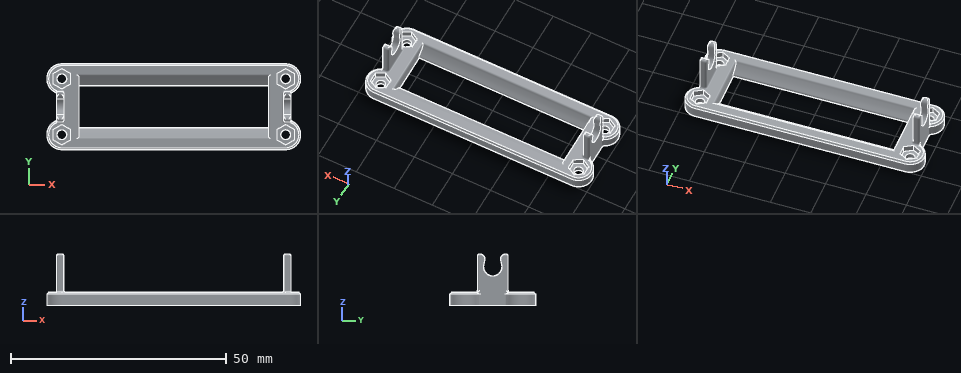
import cadquery as cq
import math

plate_thickness = 3.1
lobe_radius = 3.5
hole_half_x = 26.0
hole_half_y = 6.5
plate_half_x = hole_half_x + lobe_radius
plate_half_y = hole_half_y + lobe_radius
rim_chamfer = 0.45
waist_fillet = 0.5

screw_diameter = 2.2
nut_sides = 6
nut_across_flats = 4.1
nut_pocket_depth = 1.6

window_half_x = 22.0
window_fillet = 0.5
seat_radius = 8.85
seat_axis_z = 8.18

clip_thickness = 1.75
clip_outer_x = 27.25
clip_centre_x = clip_thickness / 2 - clip_outer_x
clip_half_width = 3.6
clip_top_z = 12.0
clip_edge_fillet = 0.55
clip_foot_fillet = 0.4
tangent_gap = 0.01
bore_radius = 2.1
bore_axis_z = 9.0
throat_half_width = 1.8
throat_taper = math.radians(12.0)
lead_in_half_width = 2.9
lead_in_radius = 1.25

margin = 0.1


def centred_box(size_x, size_y, bottom_z, top_z, centre_x=0.0):
    """Box centred on Y = 0 between two heights."""
    box = cq.Workplane("XY").box(size_x, size_y, top_z - bottom_z, centered=(True, True, False))
    return box.translate((centre_x, 0, bottom_z))


def make_plate():
    """Bar with round corner lobes, a recessed waist at each end and a chamfered top rim."""
    lobes = (
        cq.Workplane("XY")
        .rect(2 * hole_half_x, 2 * hole_half_y, forConstruction=True)
        .vertices()
        .circle(lobe_radius)
        .extrude(plate_thickness)
    )
    side_bar = centred_box(2 * hole_half_x, 2 * plate_half_y, 0, plate_thickness)
    waist_bar = centred_box(2 * clip_outer_x, 2 * hole_half_y, 0, plate_thickness)
    plate = lobes.union(side_bar).union(waist_bar).clean()

    waist_y = hole_half_y - math.sqrt(lobe_radius**2 - (clip_outer_x - hole_half_x) ** 2)
    waist_zone = cq.selectors.BoxSelector(
        (-plate_half_x, -waist_y - margin, 0),
        (plate_half_x, waist_y + margin, plate_thickness),
    )
    plate = plate.edges("|Z").edges(waist_zone).fillet(waist_fillet)
    return plate.faces(">Z").edges().chamfer(rim_chamfer)


def cut_window(plate):
    """Open the window below a cylindrical seat along X, then round its edges."""
    seat = (
        cq.Workplane("YZ")
        .center(0, seat_axis_z)
        .circle(seat_radius)
        .extrude(window_half_x, both=True)
    )
    plate = plate.cut(seat)

    half_y_at_bottom = math.sqrt(seat_radius**2 - seat_axis_z**2)
    half_y_at_top = math.sqrt(seat_radius**2 - (seat_axis_z - plate_thickness) ** 2)
    top_zone = cq.selectors.BoxSelector(
        (-window_half_x - margin, -half_y_at_top - margin, plate_thickness - margin),
        (window_half_x + margin, half_y_at_top + margin, plate_thickness + margin),
    )
    bottom_zone = cq.selectors.BoxSelector(
        (-window_half_x, -half_y_at_bottom - margin, -margin),
        (window_half_x, half_y_at_bottom + margin, margin),
    )
    plate = plate.edges(top_zone).fillet(window_fillet)
    return plate.edges("|X").edges(bottom_zone).fillet(window_fillet)


def cut_screw_seats(body):
    """Cut the four screw holes and their nut pockets, hexagon corners along Y."""
    half_sector = 180 / nut_sides
    nut_corner_diameter = nut_across_flats / math.cos(math.radians(half_sector))
    hole = cq.Workplane("XY").circle(screw_diameter / 2).extrude(plate_thickness)
    pocket = (
        cq.Workplane("XY")
        .polygon(nut_sides, nut_corner_diameter)
        .extrude(nut_pocket_depth)
        .rotate((0, 0, 0), (0, 0, 1), half_sector)
        .translate((0, 0, plate_thickness - nut_pocket_depth))
    )
    cutter = hole.union(pocket)
    for x in (-hole_half_x, hole_half_x):
        for y in (-hole_half_y, hole_half_y):
            body = body.cut(cutter.translate((x, y, 0)))
    return body


def rounded_post(grow, top_z):
    """Upright bar with rounded corners, as the clip post but grown sideways by `grow`."""
    size_x = clip_thickness + 2 * grow
    size_y = 2 * (clip_half_width + grow)
    return centred_box(size_x, size_y, 0, top_z, clip_centre_x).edges("|Z").fillet(clip_edge_fillet + grow)


def make_clip():
    """Left-hand post with rounded edges, a flared foot and an open-topped bore along X."""
    post = rounded_post(0, clip_top_z).faces(">Z").edges().fillet(clip_edge_fillet - tangent_gap)

    slab_half_size = clip_half_width + 2 * clip_foot_fillet
    slab = centred_box(2 * slab_half_size, 2 * slab_half_size, 0, plate_thickness, clip_centre_x)
    foot_zone = cq.selectors.BoxSelector(
        (clip_centre_x - clip_half_width, -clip_half_width - margin, plate_thickness - margin),
        (clip_centre_x + clip_half_width, clip_half_width + margin, plate_thickness + margin),
    )
    post = post.union(slab).edges(foot_zone).fillet(clip_foot_fillet)
    post = post.intersect(rounded_post(clip_foot_fillet, clip_top_z))
    post = post.intersect(centred_box(2 * clip_outer_x, 2 * slab_half_size, 0, clip_top_z))

    touch_y = bore_radius * math.cos(throat_taper)
    touch_z = bore_axis_z + bore_radius * math.sin(throat_taper)
    throat_z = touch_z + (touch_y - throat_half_width) / math.tan(throat_taper)
    throat = (
        cq.Workplane("YZ")
        .moveTo(-touch_y, touch_z)
        .lineTo(touch_y, touch_z)
        .lineTo(throat_half_width, throat_z)
        .radiusArc((lead_in_half_width, clip_top_z), lead_in_radius)
        .lineTo(-lead_in_half_width, clip_top_z)
        .radiusArc((-throat_half_width, throat_z), lead_in_radius)
        .close()
        .extrude(clip_outer_x, both=True)
    )
    bore = cq.Workplane("YZ").center(0, bore_axis_z).circle(bore_radius).extrude(clip_outer_x, both=True)
    return post.cut(bore).cut(throat)


def add_clips(plate):
    """Join the clip post at -X and its mirror image at +X."""
    clip = make_clip()
    return plate.union(clip).union(clip.mirror("YZ"))


frame = cut_window(make_plate())
result = cut_screw_seats(add_clips(frame))